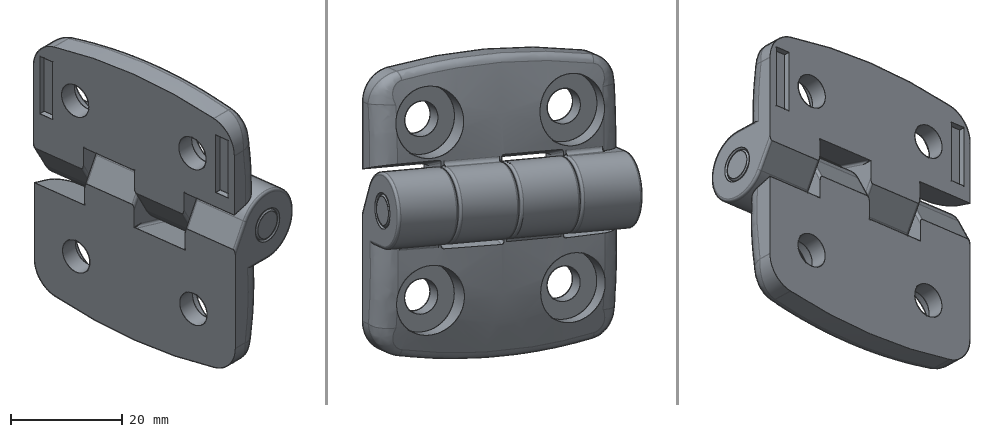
import cadquery as cq
import math

LEAF_WIDTH = 48.0
LEAF_SHIFT = 0.05
KNUCKLE_PITCH = LEAF_WIDTH / 4
KNUCKLE_GAP = 0.2
KNUCKLE_R = 7.0
KNUCKLE_EDGE_R = 0.5
AXIS_Y = 8.95
LOWER_BACK_Y = 0.15

END_ARC_R = 105.0
CORNER_R = 6.0
PLATE_BOTTOM_Z = 6.0
CROWN_R = 250.0
CROWN_SWEEP = 30.0
DOME_DEPTH = 50.0
FACE_ARC_R = 65.0
SIDE_FILLET_R = 4.0
END_FILLET_R = 1.8

TAIL_Z = 1.4
ROOT_FILLET_R = 0.8
ROOT_EMBED = 0.5
NOTCH_ANGLE = 15.0
NOTCH_FILLET_R = 0.5

HOLE_X = 14.0
HOLE_D = 6.5
BORE_D = 13.0
BORE_FLOOR_Y = 3.5

SLOT_X = 21.0
SLOT_WIDTH = 3.0
SLOT_Z_MIN = 9.0
SLOT_LENGTH = 12.0
SLOT_DEPTH = 1.2

PIN_D = 6.0
PIN_CHAMFER = 0.35
BORE_CHAMFER = 0.3

UPPER_LENGTH = 26.0
UPPER_HOLE_Z = 15.0
UPPER_CREST_Y = 7.95
UPPER_CREST_Z = 9.0
LOWER_LENGTH = 29.5
LOWER_HOLE_Z = 17.5
LOWER_CREST_Y = 8.35
LOWER_CREST_Z = 11.5

HALF_WIDTH = LEAF_WIDTH / 2
CUT_MARGIN = 5.0


def front_y(z, crest_y, crest_z):
    """Height of the front face on the middle plane of the leaf."""
    return crest_y - FACE_ARC_R + math.sqrt(FACE_ARC_R**2 - (z - crest_z)**2)


def revolve_crown(section, crest_y):
    """Sweep a YZ section across the leaf, about the crown axis far behind it, as a spline solid."""
    axis_y = crest_y - CROWN_R
    sector = (
        section
        .revolve(CROWN_SWEEP, (axis_y, 0), (axis_y, 1))
        .rotate((0, axis_y, 0), (0, axis_y, 1), -CROWN_SWEEP / 2)
    )
    return cq.Workplane(sector.val().toNURBS())


def front_face_dome(crest_y, crest_z, length):
    """Body whose outer skin is the front face, crowned in both directions."""
    base_y = crest_y - DOME_DEPTH
    z_min = PLATE_BOTTOM_Z - CUT_MARGIN
    z_max = length + CUT_MARGIN
    section = (
        cq.Workplane("YZ")
        .moveTo(base_y, z_min)
        .lineTo(front_y(z_min, crest_y, crest_z), z_min)
        .threePointArc((crest_y, crest_z), (front_y(z_max, crest_y, crest_z), z_max))
        .lineTo(base_y, z_max)
        .close()
    )
    return revolve_crown(section, crest_y)


def root_fillet(x_min, x_max, crest_y, crest_z):
    """Concave fillet between the flat top of a knuckle and the crowned front face."""
    face_z = KNUCKLE_R + ROOT_FILLET_R
    face_y = front_y(face_z, crest_y, crest_z)
    outer_y = face_y + ROOT_FILLET_R
    arc_offset = ROOT_FILLET_R * (1 - math.sqrt(0.5))
    section = (
        cq.Workplane("YZ")
        .moveTo(face_y, face_z)
        .threePointArc((face_y + arc_offset, KNUCKLE_R + arc_offset), (outer_y, KNUCKLE_R))
        .lineTo(outer_y, KNUCKLE_R - ROOT_EMBED)
        .lineTo(face_y - ROOT_EMBED, KNUCKLE_R - ROOT_EMBED)
        .lineTo(face_y - ROOT_EMBED, face_z)
        .close()
    )
    span = cq.Workplane("YZ", origin=(x_min, 0, 0)).rect(LEAF_WIDTH, LEAF_WIDTH).extrude(x_max - x_min)
    return revolve_crown(section, crest_y).intersect(span)


def plate_blank(length, thickness):
    """Flat plate with a bowed far end and rounded far corners, back face on y = 0."""
    end_z = length - END_ARC_R + math.sqrt(END_ARC_R**2 - HALF_WIDTH**2)
    return (
        cq.Workplane("XZ")
        .moveTo(-HALF_WIDTH, PLATE_BOTTOM_Z)
        .lineTo(HALF_WIDTH, PLATE_BOTTOM_Z)
        .lineTo(HALF_WIDTH, end_z)
        .threePointArc((0, length), (-HALF_WIDTH, end_z))
        .close()
        .extrude(-thickness)
        .edges("|Y").edges(">Z")
        .fillet(CORNER_R)
    )


def round_front_rim(plate):
    """Round the front rim: large radius on the sides, small at the end, blending along the corners."""
    far_edge = plate.faces(">Z").edges(">Y").val()
    radii = [
        (SIDE_FILLET_R, SIDE_FILLET_R),
        (SIDE_FILLET_R, END_FILLET_R),
        (END_FILLET_R, END_FILLET_R),
        (END_FILLET_R, SIDE_FILLET_R),
        (SIDE_FILLET_R, SIDE_FILLET_R),
    ]
    fillet = cq.occ_impl.shapes.BRepFilletAPI_MakeFillet(plate.val().wrapped)
    fillet.Add(far_edge.wrapped)
    for number, (start_r, end_r) in enumerate(radii, start=1):
        fillet.SetRadius(start_r, end_r, 1, number)
    return cq.Workplane(cq.Shape.cast(fillet.Shape()).Solids()[0])


def knuckle(x_min, x_max, axis_y):
    """Barrel with a straight tail running to the back face, its end edges rounded."""
    to_tail = math.hypot(axis_y, TAIL_Z)
    tangent_angle = math.acos(KNUCKLE_R / to_tail) - math.atan2(TAIL_Z, axis_y)
    tangent_y = axis_y - KNUCKLE_R * math.cos(tangent_angle)
    tangent_z = -KNUCKLE_R * math.sin(tangent_angle)
    body = (
        cq.Workplane("YZ", origin=(x_min, 0, 0))
        .moveTo(0, TAIL_Z)
        .lineTo(tangent_y, tangent_z)
        .threePointArc((axis_y + KNUCKLE_R, 0), (axis_y, KNUCKLE_R))
        .lineTo(0, KNUCKLE_R)
        .close()
        .extrude(x_max - x_min)
    )
    end_edges = body.faces("|X").edges("not <Y")
    return end_edges.fillet(KNUCKLE_EDGE_R)


def knuckle_spans():
    """X ranges of the two knuckles of a leaf, and of the notches beside them."""
    near_edge = KNUCKLE_GAP / 2 + LEAF_SHIFT
    far_edge = -KNUCKLE_GAP / 2 + LEAF_SHIFT
    first = (-HALF_WIDTH, -KNUCKLE_PITCH + far_edge)
    second = (near_edge, KNUCKLE_PITCH + far_edge)
    return [first, second], [(first[1], second[0]), (second[1], HALF_WIDTH + CUT_MARGIN)]


def notch_cutter(x_min, x_max, axis_y):
    """Clearance for a knuckle of the other leaf: sloped floor with rounded inner corners."""
    depth = axis_y + KNUCKLE_R
    rise = depth * math.tan(math.radians(NOTCH_ANGLE))
    return (
        cq.Workplane("YZ", origin=(x_min, 0, 0))
        .polyline([
            (0, -KNUCKLE_R),
            (0, PLATE_BOTTOM_Z),
            (depth, PLATE_BOTTOM_Z + rise),
            (depth, -KNUCKLE_R),
        ])
        .close()
        .extrude(x_max - x_min)
        .faces(">Z")
        .edges("not |X")
        .edges("#X")
        .fillet(NOTCH_FILLET_R)
    )


def screw_holes(hole_z, crest_y):
    """Two screw holes, each with a counterbore open to the front."""
    def cylinders(diameter, y_min):
        return (
            cq.Workplane("XZ", origin=(0, y_min, hole_z))
            .pushPoints([(-HOLE_X, 0), (HOLE_X, 0)])
            .circle(diameter / 2)
            .extrude(-crest_y - CUT_MARGIN)
        )

    return cylinders(HOLE_D, -CUT_MARGIN).union(cylinders(BORE_D, BORE_FLOOR_Y))


def pin_bore(axis_y):
    """Bore along the hinge axis with a chamfer at the outer end."""
    mouth_r = PIN_D / 2 + BORE_CHAMFER
    return (
        cq.Workplane("XY")
        .polyline([
            (-HALF_WIDTH, axis_y),
            (-HALF_WIDTH, axis_y + mouth_r),
            (-HALF_WIDTH + BORE_CHAMFER, axis_y + PIN_D / 2),
            (HALF_WIDTH, axis_y + PIN_D / 2),
            (HALF_WIDTH, axis_y),
        ])
        .close()
        .revolve(360, (0, axis_y), (1, axis_y))
    )


def leaf(length, hole_z, crest_y, crest_z, axis_y):
    """One hinge leaf, pointing up from the hinge axis, with its back face on y = 0."""
    knuckles, notches = knuckle_spans()
    body = plate_blank(length, crest_y + CUT_MARGIN)
    for x_min, x_max in notches:
        body = body.cut(notch_cutter(x_min, x_max, axis_y))
    body = body.intersect(front_face_dome(crest_y, crest_z, length))
    body = round_front_rim(body)
    for x_min, x_max in knuckles:
        body = body.union(knuckle(x_min, x_max, axis_y))
    for x_min, x_max in knuckles:
        fillet_start = max(x_min + KNUCKLE_EDGE_R, -HALF_WIDTH + SIDE_FILLET_R)
        body = body.union(root_fillet(fillet_start, x_max - KNUCKLE_EDGE_R, crest_y, crest_z))
    return body.cut(screw_holes(hole_z, crest_y)).cut(pin_bore(axis_y))


def slots():
    """Two shallow rectangular recesses in the back face."""
    return (
        cq.Workplane("XZ")
        .pushPoints([(-SLOT_X + LEAF_SHIFT, SLOT_Z_MIN + SLOT_LENGTH / 2),
                     (SLOT_X + LEAF_SHIFT, SLOT_Z_MIN + SLOT_LENGTH / 2)])
        .rect(SLOT_WIDTH, SLOT_LENGTH)
        .extrude(-SLOT_DEPTH)
    )


upper_leaf = (
    leaf(UPPER_LENGTH, UPPER_HOLE_Z, UPPER_CREST_Y, UPPER_CREST_Z, AXIS_Y)
    .cut(slots())
    .translate((-LEAF_SHIFT, 0, 0))
)

lower_leaf = (
    leaf(LOWER_LENGTH, LOWER_HOLE_Z, LOWER_CREST_Y, LOWER_CREST_Z, AXIS_Y - LOWER_BACK_Y)
    .rotate((0, 0, 0), (0, 1, 0), 180)
    .translate((LEAF_SHIFT, LOWER_BACK_Y, 0))
)

PIN_LENGTH = LEAF_WIDTH + 2 * LEAF_SHIFT
pin = (
    cq.Workplane("YZ", origin=(-PIN_LENGTH / 2, 0, 0))
    .center(AXIS_Y, 0)
    .circle(PIN_D / 2)
    .extrude(PIN_LENGTH)
    .faces("|X")
    .edges()
    .chamfer(PIN_CHAMFER)
)

result = cq.Compound.makeCompound([upper_leaf.val(), lower_leaf.val(), pin.val()])